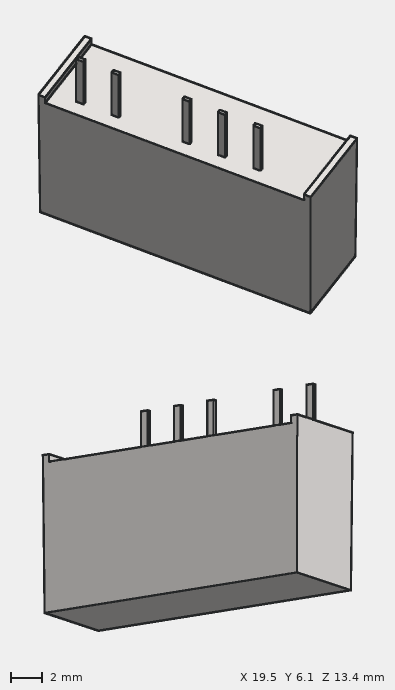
import cadquery as cq

TOP_LENGTH = 19.5
TOP_WIDTH = 6.1
HOUSING_HEIGHT = 10.2
TAPER_INSET = 0.08

RIM_THICKNESS = 0.49
RIM_HEIGHT = 0.49
DECK_HEIGHT = HOUSING_HEIGHT - RIM_HEIGHT

OVERALL_HEIGHT = 13.4
PIN_WIDTH = 0.5
PIN_THICKNESS = 0.25
PIN_PITCH = 2.54
PIN_PLACES = (-3, -2, 0, 1, 2)
PIN_ROW_ORIGIN_X = 0.25
PIN_ROW_FROM_FRONT = 1.17
PIN_ROW_Y = -TOP_WIDTH / 2 + PIN_ROW_FROM_FRONT
PIN_LENGTH = OVERALL_HEIGHT - DECK_HEIGHT


def make_housing():
    """Tapered block with a recessed deck between the two end rims."""
    block = (
        cq.Workplane("XY")
        .rect(TOP_LENGTH - 2 * TAPER_INSET, TOP_WIDTH - 2 * TAPER_INSET)
        .workplane(offset=HOUSING_HEIGHT)
        .rect(TOP_LENGTH, TOP_WIDTH)
        .loft(ruled=True)
    )
    deck_recess = (
        cq.Workplane("XY")
        .workplane(offset=DECK_HEIGHT)
        .rect(TOP_LENGTH - 2 * RIM_THICKNESS, TOP_WIDTH)
        .extrude(RIM_HEIGHT)
    )
    return block.cut(deck_recess)


def make_pin(place):
    """Rectangular pin standing on the deck at the given pitch place."""
    return (
        cq.Workplane("XY")
        .workplane(offset=DECK_HEIGHT)
        .center(PIN_ROW_ORIGIN_X + place * PIN_PITCH, PIN_ROW_Y)
        .rect(PIN_WIDTH, PIN_THICKNESS)
        .extrude(PIN_LENGTH)
    )


housing = make_housing()
pins = [make_pin(place).val() for place in PIN_PLACES]

result = cq.Compound.makeCompound([housing.val(), *pins])